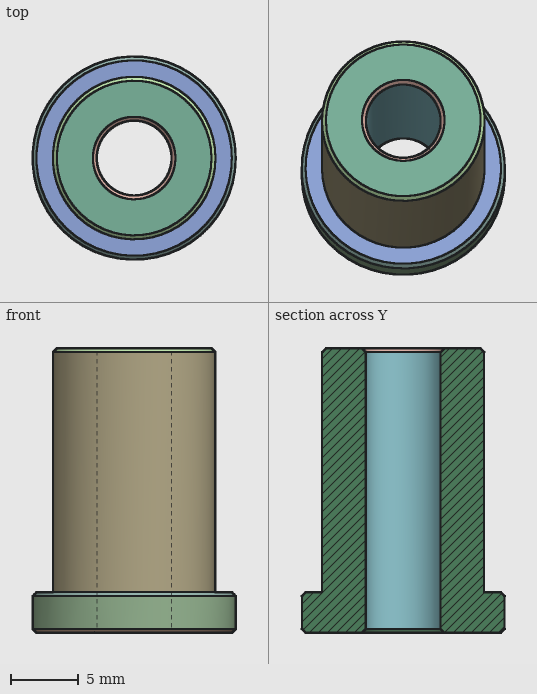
import cadquery as cq

total_height = 21.0
flange_diameter = 15.0
flange_height = 3.0
body_diameter = 12.0
bore_diameter = 5.5
edge_chamfer = 0.3


def chamfered_disc(diameter, height):
    """Disc on the XY plane with both rims chamfered."""
    return cq.Workplane("XY").circle(diameter / 2).extrude(height).edges().chamfer(edge_chamfer)


flange = chamfered_disc(flange_diameter, flange_height)

body = (
    cq.Workplane("XY")
    .circle(body_diameter / 2)
    .extrude(total_height)
    .faces(">Z")
    .edges()
    .chamfer(edge_chamfer)
)

bore_radius = bore_diameter / 2
mouth_radius = bore_radius + edge_chamfer
bore = (
    cq.Workplane("XZ")
    .lineTo(mouth_radius, 0)
    .lineTo(bore_radius, edge_chamfer)
    .lineTo(bore_radius, total_height - edge_chamfer)
    .lineTo(mouth_radius, total_height)
    .lineTo(0, total_height)
    .close()
    .revolve(360, (0, 0), (0, 1))
)

result = flange.union(body).cut(bore)